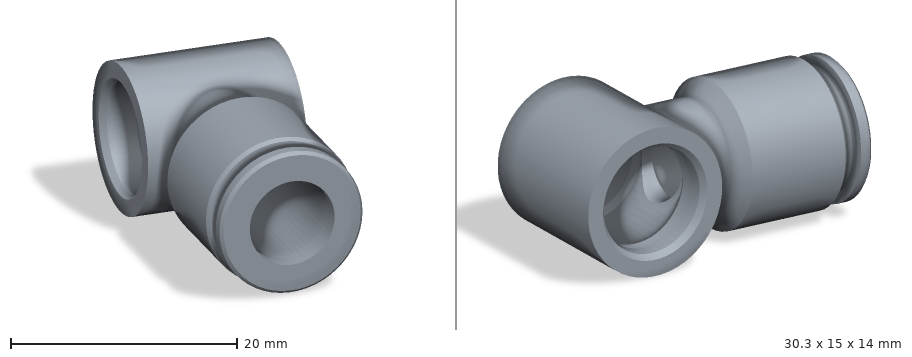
import cadquery as cq
import math

ring_radius = 7.0
ring_length = 15.0
ring_bore_radius = 5.0
ring_chamfer_width = 0.45
ring_chamfer_depth = 0.6
bore_land_end = 4.15
groove_radius = 5.4
groove_flare_angle = 30.0

neck_radius = 5.5
taper_start = 9.0
body_radius = 7.0
body_end = 20.5
body_chamfer = 0.3
neck_fillet = 0.4
ring_fillet = 0.5

collar_stem_radius = 5.9
collar_stem_end = 21.65
collar_groove_radius = 5.7
collar_root_fillet = 0.2
collar_flange_start = 22.0
collar_flange_radius = 6.75
collar_flange_chamfer = 0.3
branch_end = 23.25

passage_radius = 3.25
tube_seat_start = 6.4
tube_bore_radius = 4.0

selection_margin = 0.1


def revolve_about_x(outline):
    """Turn an (x, radius) outline about the X axis."""
    return cq.Workplane("XY").polyline(outline).close().revolve(360, (0, 0, 0), (1, 0, 0))


def revolve_about_y(outline):
    """Turn a (radius, y) outline about the Y axis."""
    return cq.Workplane("XY").polyline(outline).close().revolve(360, (0, 0, 0), (0, 1, 0))


def edges_between(x_start, x_end, radius):
    """Selector for edges inside a box around the X axis, from x_start to x_end."""
    reach = radius + selection_margin
    return cq.selectors.BoxSelector(
        (x_start - selection_margin, -reach, -reach),
        (x_end + selection_margin, reach, reach),
        boundingbox=True,
    )


def edges_near(x, radius):
    """Selector for circular edges at one X station, no larger than the given radius."""
    return edges_between(x, x, radius)


def make_ring_and_body():
    """Ring joined to the neck and body, with the neck blended at both ends."""
    taper_end = taper_start + body_radius - neck_radius
    body = revolve_about_x([
        (0, 0),
        (0, neck_radius),
        (taper_start, neck_radius),
        (taper_end, body_radius),
        (body_end - body_chamfer, body_radius),
        (body_end, body_radius - body_chamfer),
        (body_end, 0),
    ])
    body = body.edges(edges_near(taper_start, neck_radius)).fillet(neck_fillet)

    ring = cq.Workplane("XZ").circle(ring_radius).extrude(ring_length / 2, both=True)
    joined = ring.union(body)
    seam_start = math.sqrt(ring_radius**2 - neck_radius**2)
    seam = edges_between(seam_start, ring_radius, neck_radius)
    return joined.edges(seam).fillet(ring_fillet)


def make_collar():
    """Stepped release collar with a chamfered end flange and a rounded flange root."""
    collar = revolve_about_x([
        (body_end - body_chamfer, 0),
        (body_end - body_chamfer, collar_stem_radius),
        (collar_stem_end, collar_stem_radius),
        (collar_stem_end, collar_groove_radius),
        (collar_flange_start, collar_groove_radius),
        (collar_flange_start, collar_flange_radius),
        (branch_end - collar_flange_chamfer, collar_flange_radius),
        (branch_end, collar_flange_radius - collar_flange_chamfer),
        (branch_end, 0),
    ])
    flange_root = edges_near(collar_flange_start, collar_groove_radius)
    return collar.edges(flange_root).fillet(collar_root_fillet)


def make_ring_bore():
    """Ring bore with chamfered mouths and a wider groove in the middle."""
    flare_length = (groove_radius - ring_bore_radius) / math.tan(math.radians(groove_flare_angle))
    mouth_radius = ring_bore_radius + ring_chamfer_width
    half_outline = [
        (groove_radius, bore_land_end - flare_length),
        (ring_bore_radius, bore_land_end),
        (ring_bore_radius, ring_length / 2 - ring_chamfer_depth),
        (mouth_radius, ring_length / 2),
        (0, ring_length / 2),
    ]
    mirrored_half = [(radius, -y) for radius, y in reversed(half_outline)]
    return revolve_about_y(half_outline + mirrored_half)


def make_passage():
    """Flow hole from the ring bore, opening into the tube bore."""
    return revolve_about_x([
        (0, 0),
        (0, passage_radius),
        (tube_seat_start, passage_radius),
        (tube_seat_start, tube_bore_radius),
        (branch_end, tube_bore_radius),
        (branch_end, 0),
    ])


result = make_ring_and_body().union(make_collar())
result = result.cut(make_ring_bore()).cut(make_passage())